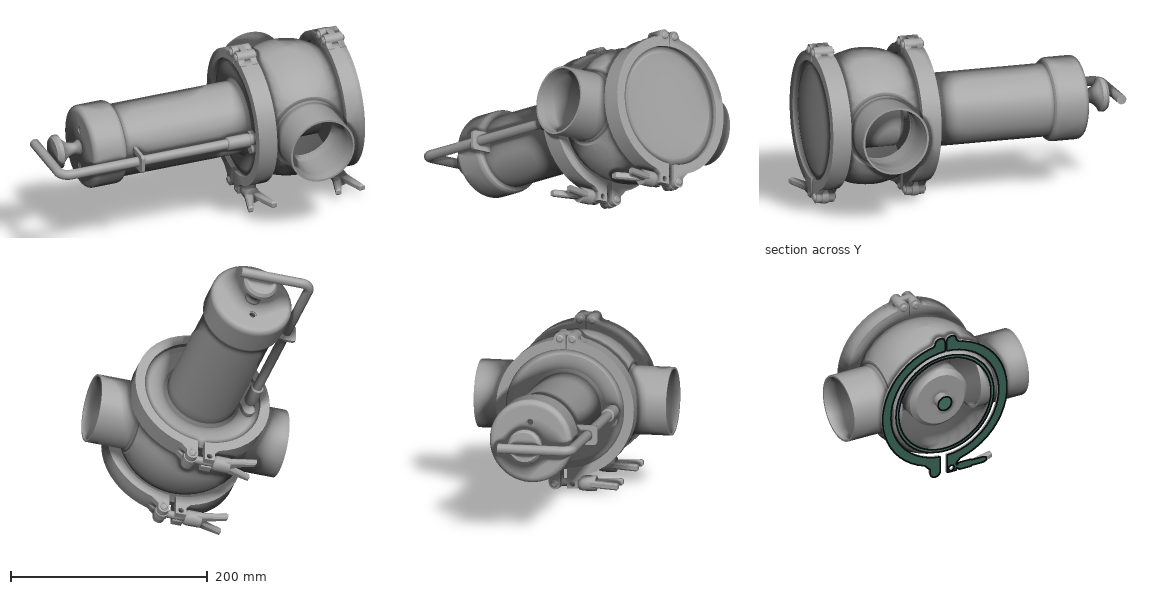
import cadquery as cq
import math

ball_radius = 70.0
ball_wall = 3.0
overall_length = 200.0
seat_diameter = 80.0
seat_x = math.sqrt(ball_radius**2 - (seat_diameter / 2) ** 2)
pipe_diameter = 70.0
pipe_bore = 66.0
ferrule_bore = 65.4
sleeve_inner_x = 45.0
sleeve_lip = 2.0
weld_diameter = 73.0
weld_land = 1.2
weld_taper = 1.6
pole_vent_diameter = 0.1

clamp_y = 48.1
clamp_width = 19.6
clamp_radius = 71.6
clamp_bore_radius = 61.6
flange_radius = 64.4
flange_cover_radius = 55.2
flange_rim_half = 3.0
cover_half = 6.0
groove_gap = 0.3
groove_radius = flange_radius + groove_gap
lip_half = 4.5
third = clamp_width / 3

hinge_x = 1.1
hinge_z = 72.5
hinge_half_pitch = 6.5
knuckle_radius = 6.0
hinge_slot = 1.2
hinge_foot = 20.0
hinge_foot_rise = 0.4
hinge_hollow = (14.4, 70.3)
hinge_root_z = 64.0
head_diameter = 8.0
head_height = 2.2
head_chamfer = 1.4

bolt_z = -78.4
bolt_diameter = 8.0
pivot_x = -10.9
eye_radius = 7.0
lug_gap_left = -5.0
lug_gap_right = 2.2
lug_left = pivot_x - knuckle_radius
lug_right = 13.2
lug_bottom = -82.8
lug_root_z = -63.0
lug_flare = 6.0
lug_flare_top = -68.0
lug_flare_end = -74.0
sight_hole_x = 7.4
sight_hole_diameter = 6.0
nut_diameter = 16.0
nut_nose_diameter = 13.7
nut_nose_length = 3.6
nut_end = 30.7
wing_tip_x = 56.0
wing_span = 31.8
wing_tip_width = 6.0
wing_thickness = 7.0
wing_chamfer = 1.5
wing_root_x = 22.0
wing_root_inset = 1.0

plug_radius = 32.7
plug_straight = 54.0
plug_chamfer = 5.0
plug_stem_radius = 8.0

tube_radius = 37.5
foot_radius = 40.5
foot_length = 3.5
cap_start = -189.4
shoulder_y = -191.3
shoulder_radius = 41.3
shoulder_bulge = (42.55, -193.5)
skirt_start = -196.5
cap_end = -226.6
cap_radius = 43.0
cap_fillet = 6.0
cap_hole_diameter = 8.0
cap_hole_z = 20.4
cap_hole_depth = 1.0
cap_drill_diameter = 6.1
cap_drill_depth = 6.0
knob_radius = 17.5
knob_face_radius = 15.2
knob_collar_radius = 8.1
knob_collar_end = -228.2
knob_neck_radius = 6.0
knob_neck_start = -231.6
knob_neck_end = -233.6
knob_flare_middle = (9.2, -242.3)
knob_rim_start = -249.1
knob_rim_end = -252.9
knob_end = -256.0

rod_diameter = 10.0
rod_x = 50.0
bend_radius = 10.0
y_min = -270.8
arm_y = y_min + rod_diameter / 2
arm_end_x = -24.8
bushing_diameter = 13.7
bushing_start = -60.8
bushing_end = -85.0
bushing_chamfer = 1.0
spigot_diameter = 12.0
pad_radius = 6.0
pad_end = -59.6
pad_top = (44.0, 0.0)
pad_bottom = (48.8, -10.5)
bracket_end_x = 60.3
bracket_start_x = 34.0
bracket_width = 20.0
bracket_thickness = 3.2
bracket_y = -179.2
bracket_corner = 4.0


def y_disc(radius, y_start, y_stop, x=0.0, z=0.0):
    """Cylinder along Y between two Y positions."""
    low = min(y_start, y_stop)
    high = max(y_start, y_stop)
    return cq.Workplane("XZ", origin=(x, high, z)).circle(radius).extrude(high - low)


def x_disc(radius, x_start, x_stop, z=0.0):
    """Cylinder along X between two X positions."""
    return cq.Workplane("YZ", origin=(x_start, 0, z)).circle(radius).extrude(x_stop - x_start)


def y_box(x_start, x_stop, y_start, y_stop, z_start, z_stop):
    """Box between opposite corners."""
    size = (x_stop - x_start, y_stop - y_start, z_stop - z_start)
    return cq.Workplane("XY").box(*size, centered=False).translate((x_start, y_start, z_start))


def turned(points):
    """Solid of revolution about Y from (radius, y) points."""
    return cq.Workplane("XY").polyline(points).close().revolve(360, (0, 0, 0), (0, 1, 0))


def flange(side):
    """Double-coned flange that the clamp grips; side is +1 or -1 along Y."""
    inner = side * (clamp_y - cover_half)
    outer = side * (clamp_y + cover_half)
    return turned([
        (0, inner),
        (flange_cover_radius, inner),
        (flange_radius, side * (clamp_y - flange_rim_half)),
        (flange_radius, side * (clamp_y + flange_rim_half)),
        (flange_cover_radius, outer),
        (0, outer),
    ])


def plug():
    """Chamfered plug on a stem that reaches the front flange."""
    half = plug_straight / 2
    end = half + plug_chamfer
    body = turned([
        (0, -end),
        (plug_radius - plug_chamfer, -end),
        (plug_radius, -half),
        (plug_radius, half),
        (plug_radius - plug_chamfer, end),
        (0, end),
    ])
    return body.union(y_disc(plug_stem_radius, -clamp_y, 0))


def ball():
    """Hollow ball with its two pipes and both flanges."""
    ends_y = clamp_y - cover_half
    slab = cq.Workplane("XY").box(2 * seat_x, 2 * ends_y, 2 * ball_radius)
    body = cq.Workplane("XY").sphere(ball_radius).intersect(slab)
    land_x = seat_x + weld_land
    taper_x = land_x + weld_taper
    pipes = (
        cq.Workplane("XY")
        .moveTo(0, 0)
        .lineTo(0, weld_diameter / 2)
        .lineTo(land_x, weld_diameter / 2)
        .lineTo(taper_x, pipe_diameter / 2)
        .lineTo(overall_length / 2, pipe_diameter / 2)
        .lineTo(overall_length / 2, 0)
        .close()
        .revolve(360, (0, 0, 0), (1, 0, 0))
    )
    body = body.union(pipes).union(pipes.mirror("YZ"))
    body = body.union(flange(1)).union(flange(-1))

    hollow = cq.Workplane("XY").sphere(ball_radius - ball_wall).intersect(slab)
    body = body.cut(hollow)
    lip_x = sleeve_inner_x + sleeve_lip
    for side in (1, -1):
        sleeve = x_disc(pipe_diameter / 2, sleeve_inner_x, seat_x)
        bore = x_disc(pipe_bore / 2, lip_x, overall_length / 2)
        lip_bore = x_disc(ferrule_bore / 2, sleeve_inner_x, lip_x)
        if side < 0:
            sleeve, bore, lip_bore = (item.mirror("YZ") for item in (sleeve, bore, lip_bore))
        body = body.union(sleeve).cut(bore).cut(lip_bore)
    vent = cq.Workplane("XY").circle(pole_vent_diameter / 2).extrude(ball_radius)
    return body.cut(vent)


def actuator():
    """Tube with its end cap and turned knob."""
    cover_y = -clamp_y - cover_half
    tube = turned([
        (0, cover_y),
        (foot_radius, cover_y),
        (tube_radius, cover_y - foot_length),
        (tube_radius, cap_start),
        (0, cap_start),
    ])
    cap = (
        cq.Workplane("XY")
        .moveTo(0, cap_start)
        .lineTo(tube_radius, cap_start)
        .lineTo(shoulder_radius, shoulder_y)
        .threePointArc(shoulder_bulge, (cap_radius, skirt_start))
        .lineTo(cap_radius, cap_end)
        .lineTo(0, cap_end)
        .close()
        .revolve(360, (0, 0, 0), (0, 1, 0))
    )
    cap = cap.faces("<Y").edges().fillet(cap_fillet)
    for z in (cap_hole_z, -cap_hole_z):
        cap = cap.cut(y_disc(cap_hole_diameter / 2, cap_end + cap_hole_depth, cap_end, 0, z))
        cap = cap.cut(y_disc(cap_drill_diameter / 2, cap_end + cap_drill_depth, cap_end, 0, z))
    knob = (
        cq.Workplane("XY")
        .moveTo(0, cap_end + cap_fillet)
        .lineTo(knob_collar_radius, cap_end + cap_fillet)
        .lineTo(knob_collar_radius, knob_collar_end)
        .lineTo(knob_neck_radius, knob_neck_start)
        .lineTo(knob_neck_radius, knob_neck_end)
        .threePointArc(knob_flare_middle, (knob_radius, knob_rim_start))
        .lineTo(knob_radius, knob_rim_end)
        .lineTo(knob_face_radius, knob_end)
        .lineTo(0, knob_end)
        .close()
        .revolve(360, (0, 0, 0), (0, 1, 0))
    )
    return tube.union(cap).union(knob)


def handle():
    """Bent rod, its bushing and pad, and the bracket that steadies it on the tube."""
    bend_offset = bend_radius * (1 - math.sqrt(0.5))
    path = (
        cq.Workplane("XY")
        .moveTo(rod_x, -clamp_y)
        .lineTo(rod_x, arm_y + bend_radius)
        .threePointArc((rod_x - bend_offset, arm_y + bend_offset), (rod_x - bend_radius, arm_y))
        .lineTo(arm_end_x, arm_y)
    )
    rod = cq.Workplane("XZ", origin=(rod_x, -clamp_y, 0)).circle(rod_diameter / 2).sweep(path)
    bushing = y_disc(bushing_diameter / 2, bushing_start, bushing_end, rod_x)
    bushing = bushing.faces("<Y or >Y").edges().chamfer(bushing_chamfer)
    spigot = y_disc(spigot_diameter / 2, -clamp_y, bushing_start, rod_x)
    pad_run = pad_bottom[0] - pad_top[0]
    pad_drop = pad_bottom[1] - pad_top[1]
    pad = (
        cq.Workplane("XZ", origin=(pad_top[0] + pad_run / 2, -clamp_y, pad_top[1] + pad_drop / 2))
        .slot2D(
            math.hypot(pad_run, pad_drop) + 2 * pad_radius,
            2 * pad_radius,
            math.degrees(math.atan2(pad_drop, pad_run)),
        )
        .extrude(-clamp_y - pad_end)
    )
    bracket = y_box(
        bracket_start_x, bracket_end_x,
        bracket_y - bracket_thickness, bracket_y,
        -bracket_width / 2, bracket_width / 2,
    )
    bracket = bracket.faces(">X").edges("|Y").fillet(bracket_corner)
    return rod.union(bushing).union(spigot).union(pad).union(bracket)


housing = ball().union(plug()).union(actuator()).union(handle())


def clamp_ring():
    """Full ring with a coned groove that fits around the flange."""
    half = clamp_width / 2
    return turned([
        (clamp_bore_radius, -half),
        (clamp_radius, -half),
        (clamp_radius, half),
        (clamp_bore_radius, half),
        (clamp_bore_radius, lip_half),
        (groove_radius, flange_rim_half + groove_gap),
        (groove_radius, -flange_rim_half - groove_gap),
        (clamp_bore_radius, -lip_half),
    ])


def outer_thirds(profile):
    """Two plates of the same outline at the front and the rear third of the clamp."""
    plate = profile.extrude(third)
    return plate.translate((0, -third / 2, 0)).union(plate.translate((0, third * 1.5, 0)))


def pin(x, z):
    """Pin along Y whose chamfered heads stand out of both clamp faces."""
    head_end = clamp_width / 2 + head_height
    body = y_disc(head_diameter / 2, -head_end, head_end, x, z)
    return body.faces("<Y or >Y").edges().chamfer(head_chamfer)


def hinge():
    """Knuckles, pins and middle link that join the halves at the top."""
    foot_z = math.sqrt(clamp_radius**2 - hinge_foot**2) + hinge_foot_rise
    knuckle_edge = hinge_half_pitch + knuckle_radius
    top = hinge_z + knuckle_radius
    half_outline = (
        cq.Workplane("XZ", origin=(hinge_x, 0, 0))
        .moveTo(hinge_slot / 2, hinge_root_z)
        .lineTo(hinge_slot / 2, hinge_z)
        .threePointArc((hinge_half_pitch, top), (knuckle_edge, hinge_z))
        .threePointArc(hinge_hollow, (hinge_foot, foot_z))
        .lineTo(hinge_foot, hinge_root_z)
        .close()
    )
    right = outer_thirds(half_outline)
    body = right.union(right.mirror("YZ", (hinge_x, 0, 0)))
    link = (
        cq.Workplane("XZ", origin=(hinge_x, third / 2, hinge_z))
        .slot2D(2 * knuckle_edge, 2 * knuckle_radius)
        .extrude(third)
    )
    body = body.union(link)
    for side in (1, -1):
        body = body.union(pin(hinge_x + side * hinge_half_pitch, hinge_z))
    return body


def lugs():
    """Pair of lugs at the bottom; the swing bolt lies in their middle third."""
    left = outer_thirds(
        cq.Workplane("XZ")
        .moveTo(lug_gap_left, lug_root_z)
        .lineTo(lug_gap_left, bolt_z)
        .threePointArc((pivot_x, bolt_z - knuckle_radius), (lug_left, bolt_z))
        .lineTo(lug_left, lug_flare_end)
        .lineTo(lug_left - lug_flare, lug_flare_top)
        .lineTo(lug_left - lug_flare, lug_root_z)
        .close()
    )
    right = outer_thirds(
        cq.Workplane("XZ")
        .moveTo(lug_gap_right, lug_root_z)
        .lineTo(lug_gap_right, lug_bottom)
        .lineTo(lug_right, lug_bottom)
        .lineTo(lug_right, lug_flare_end)
        .lineTo(lug_right + lug_flare, lug_flare_top)
        .lineTo(lug_right + lug_flare, lug_root_z)
        .close()
    )
    half = clamp_width / 2
    right = right.cut(y_disc(sight_hole_diameter / 2, -half, half, sight_hole_x, bolt_z))
    return left.union(right)


def wing_nut():
    """Round nut with a coned nose and two wings that spread along Y."""
    nose_end = lug_right + nut_nose_length
    nut = (
        cq.Workplane("XZ")
        .moveTo(lug_right, bolt_z)
        .lineTo(lug_right, bolt_z + nut_nose_diameter / 2)
        .lineTo(nose_end, bolt_z + nut_diameter / 2)
        .lineTo(nut_end, bolt_z + nut_diameter / 2)
        .lineTo(nut_end, bolt_z)
        .close()
        .revolve(360, (0, bolt_z, 0), (1, bolt_z, 0))
    )
    tip = wing_span / 2
    wing = (
        cq.Workplane("XY", origin=(0, 0, bolt_z - wing_thickness / 2))
        .moveTo(wing_root_x, 0)
        .lineTo(wing_root_x, nut_diameter / 2 - wing_root_inset)
        .lineTo(wing_tip_x, tip)
        .lineTo(wing_tip_x, tip - wing_tip_width)
        .lineTo(nut_end, 0)
        .close()
        .extrude(wing_thickness)
        .faces("<Z or >Z")
        .edges()
        .chamfer(wing_chamfer)
    )
    return nut.union(wing).union(wing.mirror("XZ"))


def swing_bolt():
    """Eye bolt on its pivot pin."""
    shank = x_disc(bolt_diameter / 2, pivot_x, nut_end, bolt_z)
    eye = y_disc(eye_radius, -third / 2, third / 2, pivot_x, bolt_z)
    return shank.union(eye).union(pin(pivot_x, bolt_z))


def clamp():
    """Split ring with its hinge, lugs, swing bolt and wing nut, centred on Y = 0."""
    half = clamp_width / 2
    body = clamp_ring()
    hinge_cut = hinge_x - hinge_slot / 2, hinge_x + hinge_slot / 2
    body = body.cut(y_box(*hinge_cut, -half, half, 0, clamp_radius))
    body = body.cut(y_box(lug_gap_left, lug_gap_right, -half, half, -clamp_radius, 0))
    added = hinge().union(lugs()).cut(y_disc(groove_radius, -half, half))
    return body.union(added).union(swing_bolt()).union(wing_nut())


one_clamp = clamp()
clamps = [one_clamp.translate((0, side * clamp_y, 0)) for side in (-1, 1)]

result = cq.Compound.makeCompound([housing.val(), *[item.val() for item in clamps]])